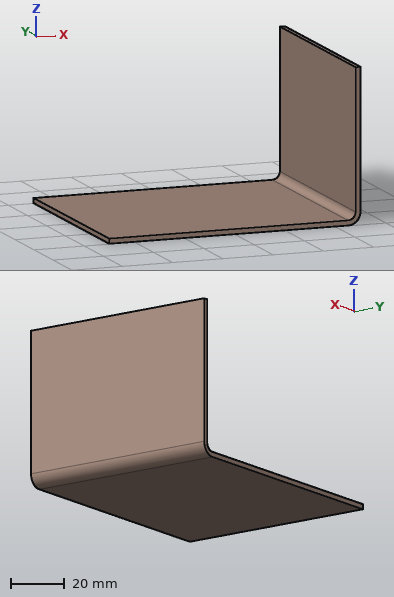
import cadquery as cq

base_length = 100.0
width = 80.0
upright_height = 60.0
thickness = 2.0
inner_bend_radius = 3.0
outer_bend_radius = inner_bend_radius + thickness


def angle_blank():
    """Extrude the sharp-cornered L profile along +Y."""
    profile = [
        (0, 0),
        (base_length, 0),
        (base_length, upright_height),
        (base_length - thickness, upright_height),
        (base_length - thickness, thickness),
        (0, thickness),
    ]
    return cq.Workplane("XZ").polyline(profile).close().extrude(-width)


def round_bend_edge(body, x, z, radius):
    """Fillet the edge parallel to Y that passes through (x, z)."""
    edge = cq.selectors.NearestToPointSelector((x, width / 2, z))
    return body.edges("|Y").edges(edge).fillet(radius)


result = angle_blank()
result = round_bend_edge(result, base_length - thickness, thickness, inner_bend_radius)
result = round_bend_edge(result, base_length, 0, outer_bend_radius)